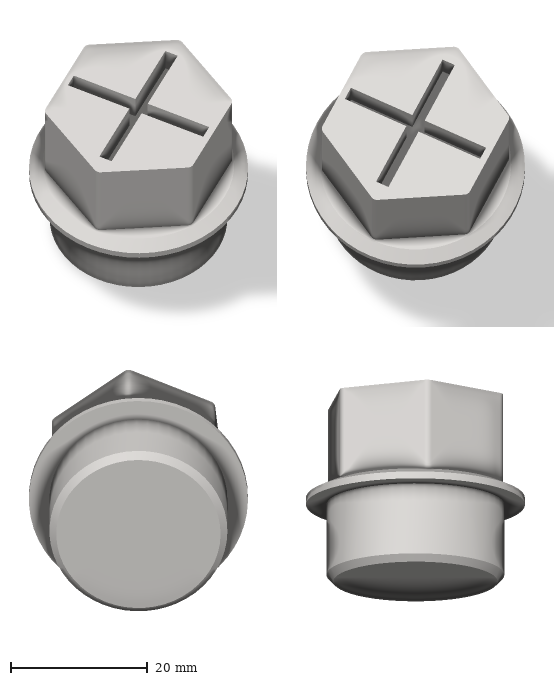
import cadquery as cq

body_diameter = 26.0
body_height = 11.55
body_chamfer = 1.0

flange_diameter = 32.0
flange_height = 2.0
flange_slope_width = 2.0
flange_slope_height = 0.95

total_height = 27.0
hex_across_flats = 24.0
hex_corner_radius = 1.0
hex_base_z = body_height + flange_height
hex_height = total_height - hex_base_z

slot_length = 22.0
slot_width = 2.0
slot_depth = 4.0


def make_body():
    """Cylinder standing on Z = 0 with a chamfered lower edge."""
    cylinder = cq.Workplane("XY").circle(body_diameter / 2).extrude(body_height)
    return cylinder.faces("<Z").edges().chamfer(body_chamfer)


def make_flange():
    """Disc whose upper rim slopes down towards the outside."""
    rim_radius = flange_diameter / 2
    profile = (
        cq.Workplane("XZ")
        .moveTo(0, body_height)
        .lineTo(rim_radius, body_height)
        .lineTo(rim_radius, hex_base_z - flange_slope_height)
        .lineTo(rim_radius - flange_slope_width, hex_base_z)
        .lineTo(0, hex_base_z)
        .close()
    )
    return profile.revolve(360, (0, 0, 0), (0, 1, 0))


def make_hex_head():
    """Hexagonal prism with two corners on the Y axis and rounded vertical edges."""
    prism = (
        cq.Workplane("XY")
        .workplane(offset=hex_base_z)
        .polygon(6, hex_across_flats, circumscribed=True)
        .extrude(hex_height)
    )
    return prism.edges("|Z").fillet(hex_corner_radius)


def make_cross_slot():
    """Two crossing bars that cut the slot into the top face."""
    top_face = cq.Workplane("XY").workplane(offset=total_height)
    along_x = top_face.rect(slot_length, slot_width).extrude(-slot_depth)
    along_y = top_face.rect(slot_width, slot_length).extrude(-slot_depth)
    return along_x.union(along_y)


result = make_body().union(make_flange()).union(make_hex_head()).cut(make_cross_slot())